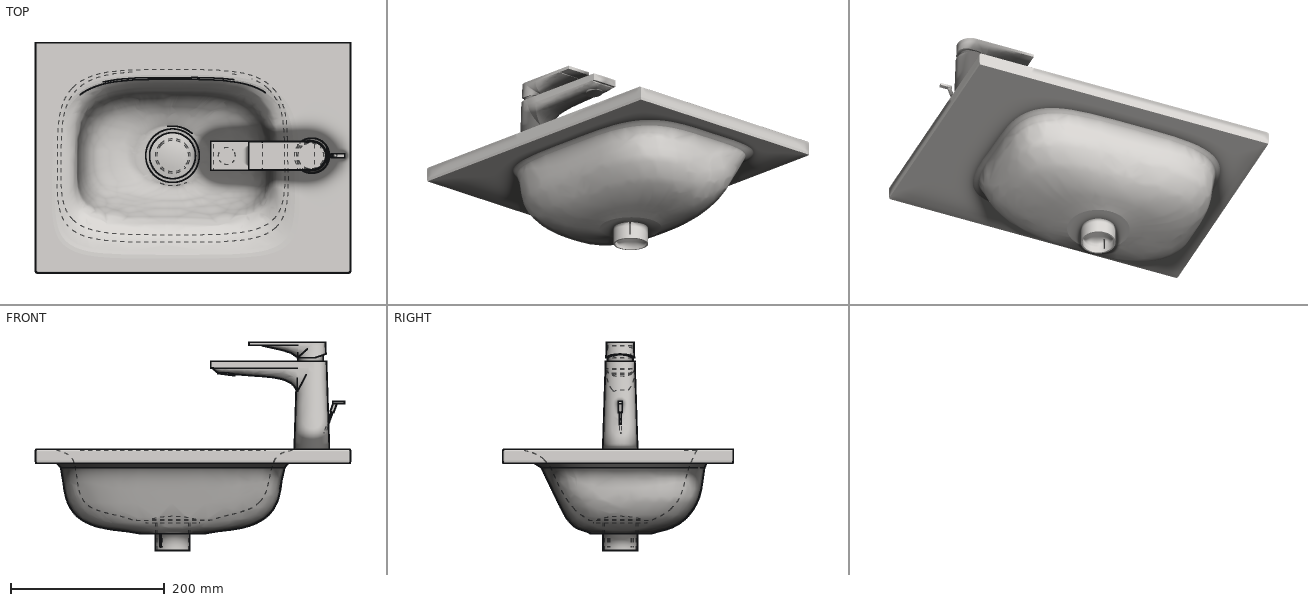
import cadquery as cq
import math


DECK_LENGTH = 410.0
DECK_DEPTH = 300.0
DECK_THICKNESS = 18.5
DECK_LEFT = -178.5
DECK_FRONT = -153.0
DECK_ROUND = 3.3
TOP_ROUND = 3.0
UNDERCUT_HEIGHT = 3.3
UNDERCUT_ANGLE = 10.0

SEAT_RADIUS = 38.5
SEAT_Z = -92.5
OUTLINE_POINTS = 24

RIM_LEVELS = [
    (0.0, 156.5, 165.0, 105.0, 133.5, -30.8, 3.7, 5.0),
    (-0.5, 152.5, 158.5, 101.5, 128.7, -30.0, 3.7, 5.0),
    (-1.5, 148.5, 153.0, 99.2, 124.2, -28.5, 3.7, 5.0),
]
INNER_LEVELS = [
    RIM_LEVELS[-1],
    (-3.5, 142.0, 145.0, 98.0, 116.5, -27.0, 3.8, 4.7),
    (-7.0, 135.5, 138.0, 96.5, 108.2, -24.5, 3.8, 4.5),
    (-16.5, 128.5, 131.0, 92.0, 96.0, -18.5, 3.8, 4.0),
    (-41.0, 124.2, 125.0, 84.0, 83.2, -12.5, 3.5, 3.5),
    (-63.5, 118.0, 117.0, 76.5, 71.0, -8.0, 3.2, 3.2),
    (-76.3, 105.8, 102.5, 67.2, 61.5, -4.0, 2.8, 2.8),
    (-83.5, 83.5, 81.0, 58.0, 53.7, -2.0, 2.5, 2.5),
    (-89.0, 60.5, 60.0, 48.0, 46.0, 0.0, 2.2, 2.2),
    (SEAT_Z, SEAT_RADIUS, SEAT_RADIUS, SEAT_RADIUS, SEAT_RADIUS, 0.0, 2.0, 2.0),
]
FLARE_LEVELS = [
    (-DECK_THICKNESS, 150.0, 149.5, 112.5, 112.0, -12.5, 4.0, 4.5),
    (-24.0, 145.0, 145.5, 110.0, 102.5, -10.2, 3.8, 4.2),
]
OUTER_LEVELS = [
    FLARE_LEVELS[-1],
    (-49.0, 141.5, 141.0, 106.0, 90.0, -4.0, 3.6, 3.8),
    (-74.0, 134.5, 133.5, 98.0, 78.7, 0.0, 3.4, 3.4),
    (-94.5, 115.0, 113.0, 80.8, 67.0, 0.0, 2.8, 2.8),
    (-105.5, 76.0, 74.5, 58.2, 50.5, 0.0, 2.4, 2.4),
    (-110.3, 41.0, 41.0, 40.0, 38.5, 0.0, 2.0, 2.0),
]

FLANGE_RADIUS = 35.0
FLANGE_THICKNESS = 3.3
CAP_RADIUS = 30.0
CAP_RIM_HEIGHT = 1.5
CAP_DOME_HEIGHT = 4.0
PIPE_RADIUS = 22.5
PIPE_WALL = 2.0
PIPE_BOTTOM_Z = -132.0
SLOT_WIDTH = 2.5
SLOT_BOTTOM_Z = -127.0
SLOT_TOP_Z = -110.3
SLOT_ANGLES = (135.0, 225.0)

TAP_X = 181.2
TAP_BASE_RADIUS = 23.0
TAP_TOP_RADIUS = 19.3
TAP_HEIGHT = 114.5
SPOUT_TIP_X = 49.5
SPOUT_WIDTH = 38.0
SPOUT_THICKNESS = 9.0
SPOUT_BELLY = [
    (53.5, 1.5),
    (61.5, 6.5),
    (74.0, 7.8),
    (90.0, 9.0),
    (106.5, 10.2),
    (123.0, 11.5),
    (137.5, 13.5),
    (149.5, 17.2),
    (158.5, 24.0),
    (162.5, 33.5),
]
BELLY_POINTS = 9
AERATOR_X = 70.0
AERATOR_RADIUS = 11.0
AERATOR_HEIGHT = 6.0
AERATOR_BOTTOM_Z = 96.8
AERATOR_TILT = 7.6
NECK_RADIUS = 17.0
NECK_SHIFT = 1.5

LEVER_TOP_Z = 139.0
LEVER_TIP_X = 99.2
LEVER_RADIUS = 18.0
LEVER_HEAD_RADIUS = 19.0
LEVER_PLATE = 4.0
LEVER_BOTTOM_Z = 118.5
BEVEL_START = 3.3
BEVEL_RISE = 5.5
LEVER_BELLY = [(117.0, 1.0), (128.0, 3.0), (139.0, 5.5), (149.2, 8.0), (158.0, 12.0), (163.0, 16.5)]

KNOB_LEFT_X = 208.3
KNOB_RIGHT_X = 224.0
KNOB_WIDTH = 5.5
KNOB_THICKNESS = 3.3
KNOB_TOP_Z = 62.0
STEM_TOP = (211.5, 60.0)
STEM_DIRECTION = (-2.0, -5.6)
STEM_RADIUS = 2.5
STEM_LENGTH = 12.7
ROD_RADIUS = 1.2
ROD_LENGTH = 41.0


def signed_power(value, exponent):
    return math.copysign(abs(value) ** exponent, value)


def bowl_outline(level):
    """Closed smooth outline: two superellipse halves, one behind and one before the side middles."""
    z, left, right, back, front, middle, back_square, front_square = level
    center_x = (right - left) / 2
    half_length = (right + left) / 2
    points = []
    for i in range(OUTLINE_POINTS):
        angle = 2 * math.pi * i / OUTLINE_POINTS
        behind = math.sin(angle) >= 0
        exponent = 2 / (back_square if behind else front_square)
        half_depth = back - middle if behind else front + middle
        x = center_x + half_length * signed_power(math.cos(angle), exponent)
        y = middle + half_depth * signed_power(math.sin(angle), exponent)
        points.append(cq.Vector(x, y, z))
    return cq.Wire.assembleEdges([cq.Edge.makeSpline(points, periodic=True)])


def bowl_loft(levels, ruled=False):
    outlines = [bowl_outline(level) for level in levels]
    return cq.Workplane(cq.Solid.makeLoft(outlines, ruled))


def make_deck():
    """Slab with rounded front corners and top edges, above a slightly drawn-in lower strip."""
    slab = (
        cq.Workplane("XY")
        .box(DECK_LENGTH, DECK_DEPTH, DECK_THICKNESS - UNDERCUT_HEIGHT, centered=False)
        .translate((DECK_LEFT, DECK_FRONT, UNDERCUT_HEIGHT - DECK_THICKNESS))
        .edges("|Z and <Y")
        .fillet(DECK_ROUND)
    )
    slab_bottom = slab.faces("<Z").wires().toPending().workplane()
    undercut = slab_bottom.extrude(UNDERCUT_HEIGHT, taper=UNDERCUT_ANGLE, combine=False)
    slab = slab.faces(">Z").edges("not >Y").fillet(TOP_ROUND)
    return slab.union(undercut)


def make_basin():
    """Deck and bowl in one, with a recess for the waste flange and a hole for its pipe."""
    basin = make_deck().union(bowl_loft(FLARE_LEVELS, ruled=True)).union(bowl_loft(OUTER_LEVELS))
    basin = basin.cut(bowl_loft(INNER_LEVELS)).cut(bowl_loft(RIM_LEVELS, ruled=True))
    seat = cq.Workplane("XY", origin=(0, 0, SEAT_Z))
    recess = seat.circle(FLANGE_RADIUS).extrude(-FLANGE_THICKNESS)
    hole = seat.circle(PIPE_RADIUS).extrude(PIPE_BOTTOM_Z - SEAT_Z)
    return basin.cut(recess).cut(hole)


def make_waste():
    """Flange, domed cap and slotted tail pipe, turned about the Z axis."""
    flange_bottom = SEAT_Z - FLANGE_THICKNESS
    pipe_inner = PIPE_RADIUS - PIPE_WALL
    cap_edge_z = SEAT_Z + CAP_RIM_HEIGHT
    dome_radius = (CAP_RADIUS**2 + CAP_DOME_HEIGHT**2) / (2 * CAP_DOME_HEIGHT)
    waste = (
        cq.Workplane("XZ")
        .moveTo(0, flange_bottom)
        .lineTo(pipe_inner, flange_bottom)
        .lineTo(pipe_inner, PIPE_BOTTOM_Z)
        .lineTo(PIPE_RADIUS, PIPE_BOTTOM_Z)
        .lineTo(PIPE_RADIUS, flange_bottom)
        .lineTo(FLANGE_RADIUS, flange_bottom)
        .lineTo(FLANGE_RADIUS, SEAT_Z)
        .lineTo(CAP_RADIUS, SEAT_Z)
        .lineTo(CAP_RADIUS, cap_edge_z)
        .radiusArc((0, cap_edge_z + CAP_DOME_HEIGHT), -dome_radius)
        .close()
        .revolve(360, (0, 0, 0), (0, 1, 0))
    )
    slot = (
        cq.Workplane("XY")
        .box(2 * PIPE_RADIUS, SLOT_WIDTH, SLOT_TOP_Z - SLOT_BOTTOM_Z, centered=(False, True, False))
        .translate((0, 0, SLOT_BOTTOM_Z))
    )
    for angle in SLOT_ANGLES:
        waste = waste.cut(slot.rotate((0, 0, 0), (0, 0, 1), angle))
    return waste


def belly_section(x, depth, top_z, width):
    """Half ellipse hanging below a flat top at x."""
    points = []
    for i in range(BELLY_POINTS):
        angle = math.pi * (1 + i / (BELLY_POINTS - 1))
        points.append((width / 2 * math.cos(angle), depth * math.sin(angle)))
    plane = cq.Plane(origin=(x, 0, top_z), xDir=(0, 1, 0), normal=(1, 0, 0))
    return cq.Workplane(plane).spline(points).close()


def belly(sections, top_z, width):
    """Rounded underside of a flat arm, carried on to the tap axis with its deepest section."""
    wires = [belly_section(x, depth, top_z, width).val() for x, depth in sections]
    last_x, last_depth = sections[-1]
    root = belly_section(last_x, last_depth, top_z, width).extrude(TAP_X - last_x)
    return root.union(cq.Workplane(cq.Solid.makeLoft(wires)))


def under_lever():
    """Space between the tap and the lever: flat in front, rising towards the back."""
    back_x = TAP_X + LEVER_HEAD_RADIUS
    return (
        cq.Workplane("XZ")
        .moveTo(SPOUT_TIP_X, TAP_HEIGHT)
        .lineTo(SPOUT_TIP_X, LEVER_BOTTOM_Z)
        .lineTo(TAP_X + BEVEL_START, LEVER_BOTTOM_Z)
        .lineTo(back_x, LEVER_BOTTOM_Z + BEVEL_RISE)
        .lineTo(back_x, TAP_HEIGHT)
        .close()
        .extrude(SPOUT_WIDTH, both=True)
    )


def make_spout():
    slab_bottom = TAP_HEIGHT - SPOUT_THICKNESS
    slab = (
        cq.Workplane("XY")
        .box(TAP_X - SPOUT_TIP_X, SPOUT_WIDTH, SPOUT_THICKNESS, centered=(False, True, False))
        .translate((SPOUT_TIP_X, 0, slab_bottom))
    )
    aerator = (
        cq.Workplane("XY")
        .circle(AERATOR_RADIUS)
        .extrude(AERATOR_HEIGHT)
        .rotate((0, 0, 0), (0, 1, 0), AERATOR_TILT)
        .translate((AERATOR_X, 0, AERATOR_BOTTOM_Z))
    )
    return slab.union(belly(SPOUT_BELLY, slab_bottom, SPOUT_WIDTH)).union(aerator)


def make_tap():
    """Tapered column with its spout, and a neck that fills up to the lever."""
    cone = cq.Solid.makeCone(TAP_BASE_RADIUS, TAP_TOP_RADIUS, TAP_HEIGHT, cq.Vector(TAP_X, 0, 0))
    neck = (
        cq.Workplane("XY", origin=(TAP_X - NECK_SHIFT, 0, TAP_HEIGHT))
        .circle(NECK_RADIUS)
        .extrude(LEVER_TOP_Z - TAP_HEIGHT)
        .intersect(under_lever())
    )
    return cq.Workplane(cone).union(make_spout()).union(neck)


def make_lever():
    """Flat plate with a round end, its rounded underside and a bevelled head."""
    plate_bottom = LEVER_TOP_Z - LEVER_PLATE
    plate = (
        cq.Workplane("XY", origin=(0, 0, plate_bottom))
        .moveTo(LEVER_TIP_X, -LEVER_RADIUS)
        .lineTo(TAP_X, -LEVER_RADIUS)
        .threePointArc((TAP_X + LEVER_RADIUS, 0), (TAP_X, LEVER_RADIUS))
        .lineTo(LEVER_TIP_X, LEVER_RADIUS)
        .close()
        .extrude(LEVER_PLATE)
    )
    head_base = cq.Vector(TAP_X, 0, TAP_HEIGHT)
    head = cq.Solid.makeCone(LEVER_HEAD_RADIUS, LEVER_RADIUS, plate_bottom - TAP_HEIGHT, head_base)
    underside = belly(LEVER_BELLY, plate_bottom, 2 * LEVER_RADIUS)
    return plate.union(cq.Workplane(head)).union(underside).cut(under_lever())


def make_rod():
    """Flat knob on a stem, with a thin rod that slants down into the tap."""
    top = cq.Vector(STEM_TOP[0], 0, STEM_TOP[1])
    direction = cq.Vector(STEM_DIRECTION[0], 0, STEM_DIRECTION[1])
    stem = cq.Solid.makeCylinder(STEM_RADIUS, STEM_LENGTH, top, direction)
    rod = cq.Solid.makeCylinder(ROD_RADIUS, ROD_LENGTH, top, direction)
    knob = (
        cq.Workplane("XY")
        .box(KNOB_RIGHT_X - KNOB_LEFT_X, KNOB_WIDTH, KNOB_THICKNESS, centered=(False, True, False))
        .translate((KNOB_LEFT_X, 0, KNOB_TOP_Z - KNOB_THICKNESS))
    )
    return knob.union(cq.Workplane(stem)).union(cq.Workplane(rod))


basin = make_basin()
waste = make_waste()
lever = make_lever()
rod = make_rod()
tap = make_tap().cut(rod)

bodies = [basin, waste, tap, lever, rod]
result = cq.Compound.makeCompound([solid for body in bodies for solid in body.solids().vals()])